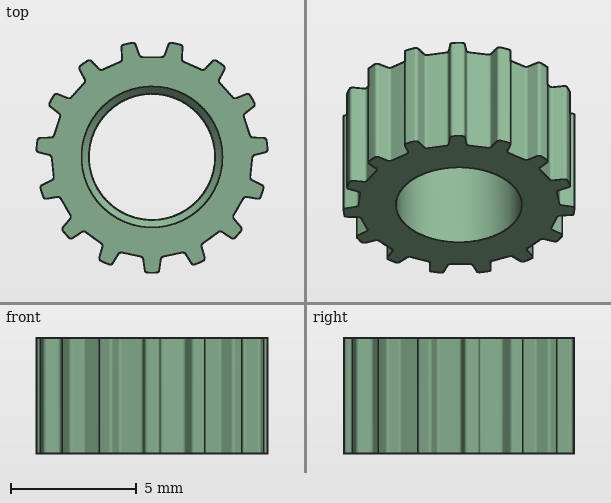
import cadquery as cq
import math

tooth_count = 15
outer_radius = 4.6
pulley_width = 4.6
angle_pitch = 360.0 / tooth_count

groove_depth = 0.635
groove_floor_width = 0.94
flank_angle = 20.0
root_fillet = 0.13
tip_fillet = 0.13
root_radius = outer_radius - groove_depth
cutter_height = 2 * groove_depth

bore_radius = 2.5
bore_chamfer = 0.3


def groove_cutter():
    """Trapezoidal groove centred on +Y, with rounded floor corners."""
    mouth_y = root_radius + cutter_height
    floor_half = groove_floor_width / 2
    mouth_half = floor_half + cutter_height * math.tan(math.radians(flank_angle))
    outline = [
        (-floor_half, root_radius),
        (floor_half, root_radius),
        (mouth_half, mouth_y),
        (-mouth_half, mouth_y),
    ]
    cutter = cq.Workplane("XY").polyline(outline).close().extrude(pulley_width)
    return cutter.edges("|Z and <Y").fillet(root_fillet)


def is_tip_edge(edge):
    """True for an edge whose centre lies on the outer half of the tooth height."""
    center = edge.Center()
    return math.hypot(center.x, center.y) > (root_radius + outer_radius) / 2


def toothed_blank():
    """Cylinder with evenly spaced grooves and rounded tooth tips."""
    blank = cq.Workplane("XY").circle(outer_radius).extrude(pulley_width)
    cutter = groove_cutter()
    for index in range(tooth_count):
        blank = blank.cut(cutter.rotate((0, 0, 0), (0, 0, 1), index * angle_pitch))
    return blank.edges("|Z").filter(is_tip_edge).fillet(tip_fillet)


def bore_cutter():
    """Through bore with a 45 degree chamfer at its top mouth."""
    bore = cq.Workplane("XY").circle(bore_radius).extrude(pulley_width)
    chamfer_base = cq.Vector(0, 0, pulley_width - bore_chamfer)
    cone = cq.Solid.makeCone(bore_radius, bore_radius + bore_chamfer, bore_chamfer, chamfer_base)
    return bore.union(cq.Workplane("XY").add(cone))


result = toothed_blank().cut(bore_cutter())